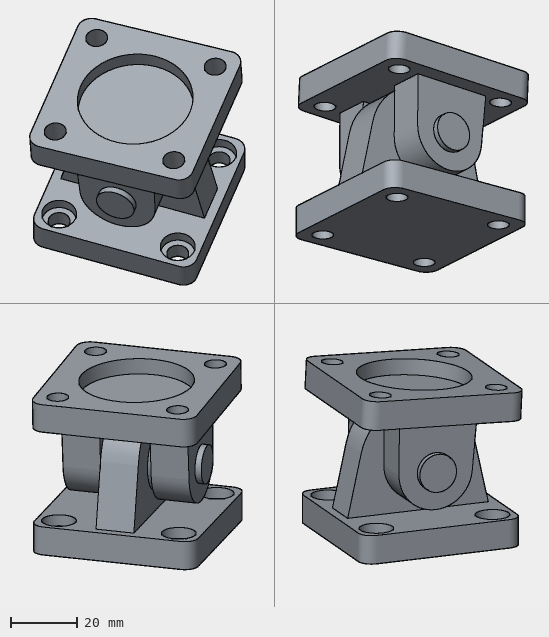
import cadquery as cq
import math

flange_size = 52.0
flange_thickness = 9.0
flange_corner_radius = 4.25
bolt_spacing = 38.0
bolt_hole_diameter = 6.6
counterbore_diameter = 10.5
counterbore_depth = 3.5
recess_diameter = 35.0
recess_depth = 5.0

pivot_height = 25.0
pivot_to_flange = pivot_height - flange_thickness
tilt_angle = 2.9

ear_thickness = 12.0
ear_radius = 19.0
ear_side_angle = 12.5

lug_thickness = 12.0
lug_radius = 12.0
lug_side_angle = 2.5

pin_diameter = 12.0
pin_length = 44.0
ball_radius = 11.1
ball_width = 16.0


def flange():
    """Square plate with rounded corners, standing on Z = 0."""
    return (
        cq.Workplane("XY")
        .box(flange_size, flange_size, flange_thickness, centered=(True, True, False))
        .edges("|Z")
        .fillet(flange_corner_radius)
    )


def bolt_points(plate):
    """Bolt hole centres on the top face of a plate."""
    return plate.faces(">Z").workplane().rect(bolt_spacing, bolt_spacing, forConstruction=True).vertices()


def plate_along_y(outline, thickness, y_center=0):
    """Extrude an XZ outline to a thickness centred on y_center."""
    return outline.extrude(thickness / 2, both=True).translate((0, y_center, 0))


def cylinder_along_y(radius, length):
    """Cylinder on the pivot axis, centred on Y = 0."""
    return plate_along_y(cq.Workplane("XZ").circle(radius), length)


def ear_outline():
    """Round top about the pivot with tangent sides spreading down to the base flange."""
    slope = math.radians(ear_side_angle)
    tangent_x = ear_radius * math.cos(slope)
    tangent_z = ear_radius * math.sin(slope)
    foot_x = (ear_radius + pivot_to_flange * math.sin(slope)) / math.cos(slope)
    return (
        cq.Workplane("XZ")
        .moveTo(-foot_x, -pivot_to_flange)
        .lineTo(foot_x, -pivot_to_flange)
        .lineTo(tangent_x, tangent_z)
        .threePointArc((0, ear_radius), (-tangent_x, tangent_z))
        .close()
    )


def lug_outline():
    """Round end about the pivot with tangent sides flaring up to the clevis flange."""
    slope = math.radians(lug_side_angle)
    tangent_x = lug_radius * math.cos(slope)
    tangent_z = -lug_radius * math.sin(slope)
    root_x = (lug_radius + pivot_to_flange * math.sin(slope)) / math.cos(slope)
    return (
        cq.Workplane("XZ")
        .moveTo(-root_x, pivot_to_flange)
        .lineTo(-tangent_x, tangent_z)
        .threePointArc((0, -lug_radius), (tangent_x, tangent_z))
        .lineTo(root_x, pivot_to_flange)
        .close()
    )


def make_ball_pin():
    """Pin along Y with a ball in the middle; the ball is cut flat to fit between the lugs."""
    ball = cq.Workplane("XY").sphere(ball_radius)
    ball = ball.intersect(cq.Workplane("XY").box(2 * ball_radius, ball_width, 2 * ball_radius))
    pin = cylinder_along_y(pin_diameter / 2, pin_length)
    return ball.union(pin)


def make_base():
    """Base flange with counterbored bolt holes and an ear with a spherical seat."""
    plate = flange()
    plate = bolt_points(plate).cboreHole(bolt_hole_diameter, counterbore_diameter, counterbore_depth)
    plate = plate.translate((0, 0, -pivot_height))
    ear = plate_along_y(ear_outline(), ear_thickness)
    seat = cq.Workplane("XY").sphere(ball_radius)
    return plate.union(ear.cut(seat))


def make_clevis():
    """Clevis flange with a round recess, two bored lugs and a groove for the ear between them."""
    plate = flange()
    plate = bolt_points(plate).hole(bolt_hole_diameter)
    plate = plate.faces(">Z").workplane().hole(recess_diameter, recess_depth)
    clevis = plate.translate((0, 0, pivot_to_flange))
    lug_y = (ball_width + lug_thickness) / 2
    for side in (-1, 1):
        clevis = clevis.union(plate_along_y(lug_outline(), lug_thickness, side * lug_y))
    pin_bore = cylinder_along_y(pin_diameter / 2, pin_length)
    ear_relief = cylinder_along_y(ear_radius, ear_thickness)
    return clevis.cut(pin_bore).cut(ear_relief)


def swing(body):
    """Tilt a body about the pivot axis."""
    return body.rotate((0, 0, 0), (0, 1, 0), -tilt_angle)


lift = (0, 0, pivot_height)
base = make_base().translate(lift)
clevis = swing(make_clevis()).translate(lift)
ball_pin = swing(make_ball_pin()).translate(lift)

result = cq.Compound.makeCompound([base.solids().val(), clevis.solids().val(), ball_pin.solids().val()])